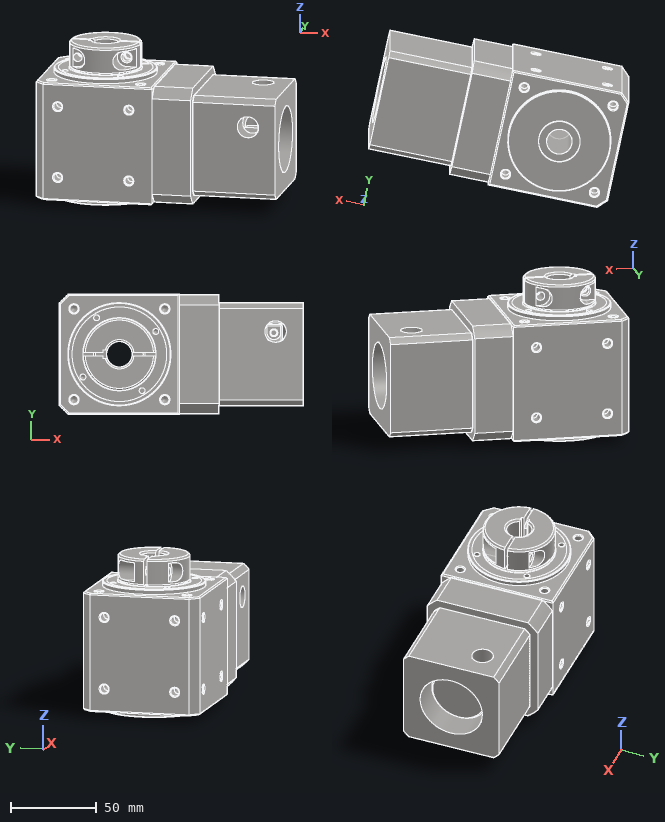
import cadquery as cq
import math


housing_side = 70.0
housing_half = housing_side / 2
corner_chamfer = 5.3
edge_chamfer = 0.9
spigot_diameter = 60.0
spigot_radius = spigot_diameter / 2
spigot_height = 2.8
spigot_chamfer = 0.4
spigot_face = housing_half + spigot_height

tapped_radius = 2.4
tapped_mouth_radius = 3.0
tapped_depth = 8.5
side_hole_offset = 21.2
end_hole_offset = 26.4
drill_point_half_angle = math.radians(59)

cover_radius = 27.5
cover_thickness = 5.0
cover_bottom = spigot_face - cover_thickness
cover_recess_radius = 21.3
cover_recess_depth = 0.5
cover_hole_radius = 1.7
cover_hole_depth = 2.8
cover_hole_circle_radius = 25.0
cover_hole_start_angle = 32

bore_radius = 7.4
shaft_radius = 12.0
shaft_projection = 1.3
seat_radius = 15.0
seat_chamfer = 1.1

clamp_radius = 21.0
clamp_height = 16.0
clamp_chamfer = 1.1
clamp_bore_chamfer = 1.1
clamp_gap = 2.0
keyway_width = 5.1
keyway_reach = 9.7
clamp_screw_offset = 13.9
clamp_screw_radius = 2.48
clamp_screw_mouth_radius = 3.3
clamp_pocket_radius = 5.5
head_pocket_floor = 12.8
thread_pocket_floor = 6.8

flange_side = 69.3
flange_turned_radius = 44.9
flange_length = 22.9
adapter_side = 59.9
adapter_turned_radius = 40.0
adapter_start_chamfer = 0.4
overall_length = 142.0
adapter_start = housing_half + flange_length
adapter_end = overall_length - housing_half
adapter_length = adapter_end - adapter_start
access_radius = 6.2
access_x = 90.9
access_offset = 13.2
hub_clearance = 2.1

hub_radius = 17.3
hub_end = 95.0
hub_chamfer = 1.0
hub_screw_x = 89.9
hub_screw_offset = 12.5
hub_screw_radius = 1.7
hub_screw_mouth_radius = 2.3
hub_pocket_radius = 4.0
hub_head_floor = 5.5
hub_rear_floor = 9.4
cavity_radius = hub_radius + hub_clearance


def drilled_hole(radius, depth):
    """Drilled hole from the origin towards -Z, ending in a drill point."""
    tip = depth + radius / math.tan(drill_point_half_angle)
    return (
        cq.Workplane("XZ")
        .polyline([(0, 0), (radius, 0), (radius, -depth), (0, -tip)])
        .close()
        .revolve(360, (0, 0, 0), (0, 1, 0))
    )


def tapped_hole():
    """Countersunk mounting hole from the origin towards -Z."""
    mouth_depth = tapped_mouth_radius - tapped_radius
    mouth = cq.Solid.makeCone(
        tapped_mouth_radius, tapped_radius, mouth_depth, dir=cq.Vector(0, 0, -1)
    )
    return drilled_hole(tapped_radius, tapped_depth).union(cq.Workplane("XY").add(mouth))


def housing_hole_pattern(offset):
    """Four tapped holes at the corners of a square on the +Z face of the housing."""
    hole = tapped_hole()
    holes = cq.Workplane("XY")
    for x in (-offset, offset):
        for y in (-offset, offset):
            holes = holes.add(hole.translate((x, y, housing_half)))
    return holes.combine()


def make_housing():
    body = (
        cq.Workplane("XY")
        .box(housing_side, housing_side, housing_side)
        .edges("|Z and <X")
        .chamfer(corner_chamfer)
        .faces("<Z or >Z")
        .chamfer(edge_chamfer)
    )
    spigots = (
        cq.Workplane("XY")
        .circle(spigot_radius)
        .extrude(spigot_face, both=True)
        .faces("<Z or >Z")
        .chamfer(spigot_chamfer)
    )
    body = body.union(spigots)

    end_holes = housing_hole_pattern(end_hole_offset)
    side_holes = housing_hole_pattern(side_hole_offset)
    body = body.cut(end_holes).cut(end_holes.rotate((0, 0, 0), (1, 0, 0), 180))
    body = body.cut(side_holes.rotate((0, 0, 0), (0, 1, 0), -90))
    for angle in (90, -90):
        body = body.cut(side_holes.rotate((0, 0, 0), (1, 0, 0), angle))

    cover_seat = (
        cq.Workplane("XY").workplane(offset=cover_bottom).circle(cover_radius).extrude(cover_thickness)
    )
    shaft_bore = cq.Workplane("XY").circle(shaft_radius).extrude(spigot_face, both=True)
    return body.cut(cover_seat).cut(shaft_bore)


def make_cover():
    cover = (
        cq.Workplane("XY")
        .workplane(offset=cover_bottom)
        .circle(cover_radius)
        .circle(seat_radius)
        .extrude(cover_thickness)
    )
    recess = (
        cq.Workplane("XY")
        .workplane(offset=spigot_face - cover_recess_depth)
        .circle(cover_recess_radius)
        .extrude(cover_recess_depth)
    )
    cover = cover.cut(recess)

    drilled = drilled_hole(cover_hole_radius, cover_hole_depth)
    flat_bottomed = cq.Workplane("XY").circle(cover_hole_radius).extrude(-cover_hole_depth)
    for index, hole in enumerate([drilled, flat_bottomed, drilled, flat_bottomed]):
        angle = cover_hole_start_angle + 90 * index
        placed = hole.translate((cover_hole_circle_radius, 0, spigot_face))
        cover = cover.cut(placed.rotate((0, 0, 0), (0, 0, 1), angle))
    return cover


def make_shaft():
    seat = (
        cq.Workplane("XY")
        .workplane(offset=cover_bottom)
        .circle(seat_radius)
        .extrude(cover_thickness)
        .faces(">Z")
        .chamfer(seat_chamfer)
    )
    bottom = -spigot_face - shaft_projection
    tube = (
        cq.Workplane("XY").workplane(offset=bottom).circle(shaft_radius).extrude(cover_bottom - bottom)
    )
    bore = cq.Workplane("XY").circle(bore_radius).extrude(2 * housing_side, both=True)
    return tube.union(seat).cut(bore)


def clamp_pocket(side, floor):
    """U-shaped pocket in the -Y half, open to -Y and to the given X side."""
    reach = clamp_radius
    screw_x = side * clamp_screw_offset
    z = spigot_face + clamp_height / 2
    plane = cq.Plane(origin=(0, -floor, z), xDir=(1, 0, 0), normal=(0, -1, 0))
    round_end = cq.Workplane(plane).center(screw_x, 0).circle(clamp_pocket_radius).extrude(reach)
    open_end = (
        cq.Workplane(plane)
        .center(screw_x + side * reach / 2, 0)
        .rect(reach, 2 * clamp_pocket_radius)
        .extrude(reach)
    )
    return round_end.union(open_end)


def make_clamp_half(angle):
    """The half of the clamp on the -Y side, turned about Z by the given angle."""
    top = spigot_face + clamp_height
    ring = (
        cq.Workplane("XY")
        .workplane(offset=spigot_face)
        .circle(clamp_radius)
        .extrude(clamp_height)
        .faces("<Z or >Z")
        .chamfer(clamp_chamfer)
    )
    bore = cq.Workplane("XY").workplane(offset=spigot_face).circle(bore_radius).extrude(clamp_height)
    bore_mouth = cq.Workplane("XY").add(
        cq.Solid.makeCone(
            bore_radius,
            bore_radius + clamp_bore_chamfer,
            clamp_bore_chamfer,
            pnt=cq.Vector(0, 0, top - clamp_bore_chamfer),
        )
    )
    keyway_side = -math.cos(math.radians(angle))
    keyway = (
        cq.Workplane("XY")
        .workplane(offset=spigot_face)
        .center(keyway_side * keyway_reach / 2, 0)
        .rect(keyway_reach, keyway_width)
        .extrude(clamp_height)
    )
    keep = (
        cq.Workplane("XY")
        .workplane(offset=spigot_face)
        .center(0, -clamp_radius - clamp_gap / 2)
        .rect(2 * clamp_radius, 2 * clamp_radius)
        .extrude(clamp_height)
    )
    half = ring.cut(bore).cut(bore_mouth).cut(keyway).intersect(keep)

    half = half.cut(clamp_pocket(-1, head_pocket_floor)).cut(clamp_pocket(1, thread_pocket_floor))
    screw_z = spigot_face + clamp_height / 2
    screw_holes = (
        cq.Workplane("XZ", origin=(0, 0, screw_z))
        .pushPoints([(-clamp_screw_offset, 0), (clamp_screw_offset, 0)])
        .circle(clamp_screw_radius)
        .extrude(clamp_radius)
    )
    mouth_depth = clamp_screw_mouth_radius - clamp_screw_radius
    thread_mouth = cq.Workplane("XY").add(
        cq.Solid.makeCone(
            clamp_screw_mouth_radius,
            clamp_screw_radius,
            mouth_depth,
            pnt=cq.Vector(clamp_screw_offset, -thread_pocket_floor, screw_z),
            dir=cq.Vector(0, 1, 0),
        )
    )
    half = half.cut(screw_holes).cut(thread_mouth)
    return half.rotate((0, 0, 0), (0, 0, 1), angle)


def turned_square(start, length, side, turned_radius):
    """Square bar along X whose corners are turned to a circle."""
    bar = cq.Workplane("YZ", origin=(start, 0, 0)).rect(side, side).extrude(length)
    return bar.intersect(cq.Workplane("YZ", origin=(start, 0, 0)).circle(turned_radius).extrude(length))


def make_flange():
    return turned_square(housing_half, flange_length, flange_side, flange_turned_radius)


def access_elbow():
    """Screw access holes from the top and the -Y side, meeting in a mitred corner."""
    corner = (access_x, access_offset, access_offset)
    top_plane = cq.Workplane("XY", origin=corner)
    front_plane = cq.Workplane("XZ", origin=corner)
    top_hole = top_plane.circle(access_radius).extrude(adapter_side)
    front_hole = front_plane.circle(access_radius).extrude(adapter_side)
    top_full = top_plane.circle(access_radius).extrude(2 * access_radius, both=True)
    front_full = front_plane.circle(access_radius).extrude(2 * access_radius, both=True)
    return top_hole.union(front_hole).union(top_full.intersect(front_full))


def make_adapter():
    body = turned_square(adapter_start, adapter_length, adapter_side, adapter_turned_radius)
    body = body.faces("<X").chamfer(adapter_start_chamfer)
    cavity = cq.Workplane("YZ", origin=(adapter_start, 0, 0)).circle(cavity_radius).extrude(adapter_length)
    return body.cut(cavity).cut(access_elbow())


def hub_pocket(side, floor):
    """U-shaped pocket in the hub, open upwards and to the given Y side."""
    screw_y = side * hub_screw_offset
    base = cq.Workplane("XY", origin=(hub_screw_x, screw_y, floor))
    round_end = base.circle(hub_pocket_radius).extrude(hub_radius)
    open_end = (
        base.center(0, side * hub_radius / 2).rect(2 * hub_pocket_radius, hub_radius).extrude(hub_radius)
    )
    return round_end.union(open_end)


def make_hub():
    hub = (
        cq.Workplane("YZ", origin=(adapter_start, 0, 0))
        .circle(hub_radius)
        .extrude(hub_end - adapter_start)
        .faces(">X")
        .chamfer(hub_chamfer)
    )
    hub = hub.cut(hub_pocket(1, hub_head_floor)).cut(hub_pocket(-1, hub_rear_floor))
    screw_hole = (
        cq.Workplane("XY", origin=(hub_screw_x, hub_screw_offset, 0))
        .circle(hub_screw_radius)
        .extrude(hub_head_floor)
    )
    mouth_depth = hub_screw_mouth_radius - hub_screw_radius
    screw_mouth = cq.Workplane("XY").add(
        cq.Solid.makeCone(
            hub_screw_radius,
            hub_screw_mouth_radius,
            mouth_depth,
            pnt=cq.Vector(hub_screw_x, hub_screw_offset, hub_head_floor - mouth_depth),
        )
    )
    return hub.cut(screw_hole).cut(screw_mouth)


housing = make_housing()
cover = make_cover()
shaft = make_shaft()
clamp_halves = [make_clamp_half(angle) for angle in (0, 180)]
flange = make_flange()
adapter = make_adapter()
hub = make_hub()

result = cq.Compound.makeCompound(
    [
        housing.val(),
        cover.val(),
        shaft.val(),
        *[half.val() for half in clamp_halves],
        flange.val(),
        adapter.val(),
        hub.val(),
    ]
)